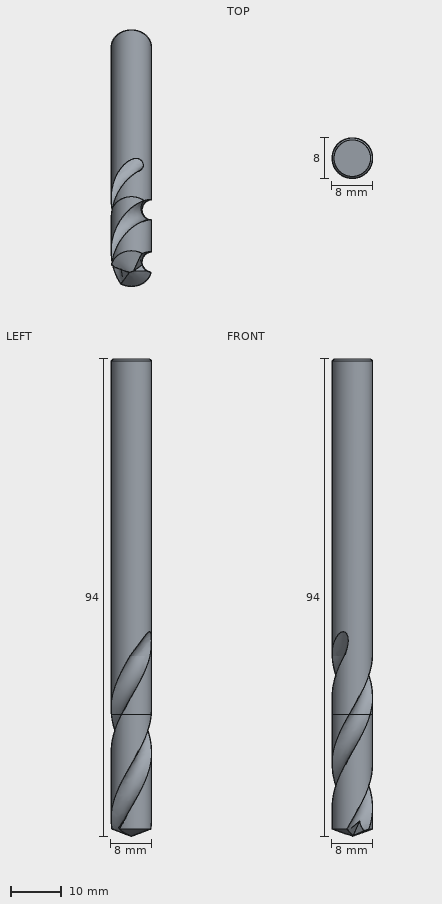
import cadquery as cq
import math

diameter = 8.0
radius = diameter / 2
total_length = 94.0
head_length = 24.0
shank_length = total_length - head_length
end_chamfer = 0.4

point_angle = 140.0
point_height = radius / math.tan(math.radians(point_angle / 2))

flute_count = 2
flute_spacing = 360.0 / flute_count
helix_angle = 30.0
lead = math.pi * diameter / math.tan(math.radians(helix_angle))
flute_end = 35.5
flute_end_angle = 211.0
flute_width_angle = 70.0
core_radius = 2.1
half_width = radius * math.sin(math.radians(flute_width_angle / 2))
chord_distance = radius * math.cos(math.radians(flute_width_angle / 2))
flute_depth = chord_distance - core_radius
flute_radius = (half_width**2 + flute_depth**2) / (2 * flute_depth)
flute_center_distance = core_radius + flute_radius

runout_rise = 8.0
runout_direction = 288.0
runout_lean = 38.0

gash_start = (0.05, -0.34, -0.1)
gash_wall_angle = 236.0
gash_width = 2.6
gash_lean = 31.0
gash_lean_direction = 318.0
gash_rise = 3.8


def polar(distance, angle):
    """XY coordinates of a point given by its distance from the axis and its angle in degrees."""
    return (distance * math.cos(math.radians(angle)), distance * math.sin(math.radians(angle)))


def leaning_path(start, rise, lean, direction):
    """Straight path that climbs by rise, leaning from Z towards a direction in degrees from X."""
    shift_x, shift_y = polar(rise * math.tan(math.radians(lean)), direction)
    first = cq.Vector(*start)
    return cq.Workplane(cq.Edge.makeLine(first, first + cq.Vector(shift_x, shift_y, rise)))


def turned(body, angle):
    """The body turned about the tool axis."""
    return body.rotate((0, 0, 0), (0, 0, 1), angle)


def make_groove():
    """Helical cutter for one flute, from the tip up to the run-out."""
    twist = 360.0 * flute_end / lead
    section = cq.Workplane("XY").pushPoints([polar(flute_center_distance, flute_end_angle - twist)])
    return section.circle(flute_radius).twistExtrude(flute_end, twist)


def make_runout():
    """Cutter that carries the flute section straight out through the side of the shank."""
    start = (*polar(flute_center_distance, flute_end_angle), flute_end)
    path = leaning_path(start, runout_rise, runout_lean, runout_direction)
    return cq.Workplane("XY", origin=start).circle(flute_radius).sweep(path)


def make_gash():
    """Leaning square cutter whose corner edge forms the valley of the gash."""
    path = leaning_path(gash_start, gash_rise, gash_lean, gash_lean_direction)
    section = cq.Workplane("XY", origin=gash_start).transformed(rotate=(0, 0, gash_wall_angle))
    return section.rect(gash_width, gash_width, centered=False).sweep(path)


def make_shank():
    """Plain cylindrical shank with a chamfered end."""
    blank = cq.Workplane("XY", origin=(0, 0, head_length)).circle(radius).extrude(shank_length)
    return blank.faces(">Z").chamfer(end_chamfer)


def make_head():
    """Cutting head with a conical point."""
    outline = (
        cq.Workplane("XZ")
        .moveTo(0, 0)
        .lineTo(radius, point_height)
        .lineTo(radius, head_length)
        .lineTo(0, head_length)
        .close()
    )
    return outline.revolve(360, (0, 0, 0), (0, 1, 0))


shank = make_shank()
head = make_head()
for index in range(flute_count):
    turn = index * flute_spacing
    groove = turned(make_groove(), turn)
    shank = shank.cut(groove).cut(turned(make_runout(), turn))
    head = head.cut(groove).cut(turned(make_gash(), turn))

result = cq.Compound.makeCompound([shank.val(), head.val()])